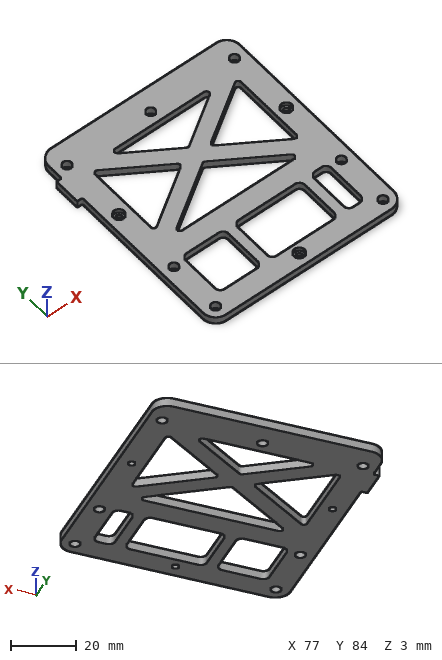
import cadquery as cq
import math

plate_width = 75.0
plate_length = 84.0
thickness = 3.0
corner_radius = 5.0

tab_reach = 2.0
tab_length = 10.0
tab_y = 25.9
tab_root_radius = 0.5

window_half_width = 28.6
cut_margin = 0.8

brace_window_top = 29.5
brace_window_bottom = -8.1
brace_center_y = 12.2
brace_width = 6.0
brace_angle = math.degrees(
    math.atan2(brace_window_top - brace_window_bottom, 2 * window_half_width)
)
brace_corner_radius = 1.0

row_top = -15.9
row_bottom = -33.9
row_bar_width = 3.9
left_window_width = 16.6
right_window_width = 6.55
row_corner_radius = 2.0

hole_x = 32.9
top_hole_y = 33.85
middle_hole_y = -17.5
bottom_hole_y = -37.5
hole_diameter = 3.3

counterbored_side_y = 8.9
small_hole_diameter = 2.2
counterbore_diameter = 4.1
counterbore_depth = 1.5


def make_plate():
    plate = cq.Workplane("XY").rect(plate_width, plate_length).extrude(thickness)
    return plate.edges("|Z").fillet(corner_radius)


def add_tab(body):
    """Add the tab and round the two inner corners where it meets the plate."""
    plate_left = -plate_width / 2
    tab = (
        cq.Workplane("XY")
        .center(plate_left, tab_y)
        .rect(2 * tab_reach, tab_length)
        .extrude(thickness)
    )
    body = body.union(tab)
    for side in (-1, 1):
        root = (plate_left, tab_y + side * tab_length / 2, thickness / 2)
        body = body.edges(cq.selectors.NearestToPointSelector(root)).fillet(tab_root_radius)
    return body


def window_cutter(left, right, bottom, top):
    """Rectangular block reaching through the whole plate."""
    return (
        cq.Workplane("XY", origin=(0, 0, -cut_margin))
        .center((left + right) / 2, (bottom + top) / 2)
        .rect(right - left, top - bottom)
        .extrude(thickness + 2 * cut_margin)
    )


def cut_braced_window(body):
    """Cut the four triangular openings left between two crossing braces."""
    openings = window_cutter(
        -window_half_width, window_half_width, brace_window_bottom, brace_window_top
    )
    brace_length = 2 * plate_length
    for angle in (-brace_angle, brace_angle):
        brace = (
            cq.Workplane("XY", origin=(0, brace_center_y, -cut_margin))
            .transformed(rotate=(0, 0, angle))
            .rect(brace_length, brace_width)
            .extrude(thickness + 2 * cut_margin)
        )
        openings = openings.cut(brace)
    return body.cut(openings.edges("|Z").fillet(brace_corner_radius))


def cut_window_row(body):
    middle_left = -window_half_width + left_window_width + row_bar_width
    right_left = window_half_width - right_window_width
    spans = [
        (-window_half_width, middle_left - row_bar_width),
        (middle_left, right_left - row_bar_width),
        (right_left, window_half_width),
    ]
    for left, right in spans:
        cutter = window_cutter(left, right, row_bottom, row_top)
        body = body.cut(cutter.edges("|Z").fillet(row_corner_radius))
    return body


def drill_holes(body):
    plain_points = [(0, top_hole_y)]
    for x in (-hole_x, hole_x):
        for y in (top_hole_y, middle_hole_y, bottom_hole_y):
            plain_points.append((x, y))
    counterbored_points = [
        (-hole_x, counterbored_side_y),
        (hole_x, counterbored_side_y),
        (0, bottom_hole_y),
    ]
    top_face = cq.Workplane("XY", origin=(0, 0, thickness))
    body = body.copyWorkplane(top_face).pushPoints(plain_points).hole(hole_diameter)
    return (
        body.copyWorkplane(top_face)
        .pushPoints(counterbored_points)
        .cboreHole(small_hole_diameter, counterbore_diameter, counterbore_depth)
    )


result = make_plate()
result = add_tab(result)
result = cut_braced_window(result)
result = cut_window_row(result)
result = drill_holes(result)